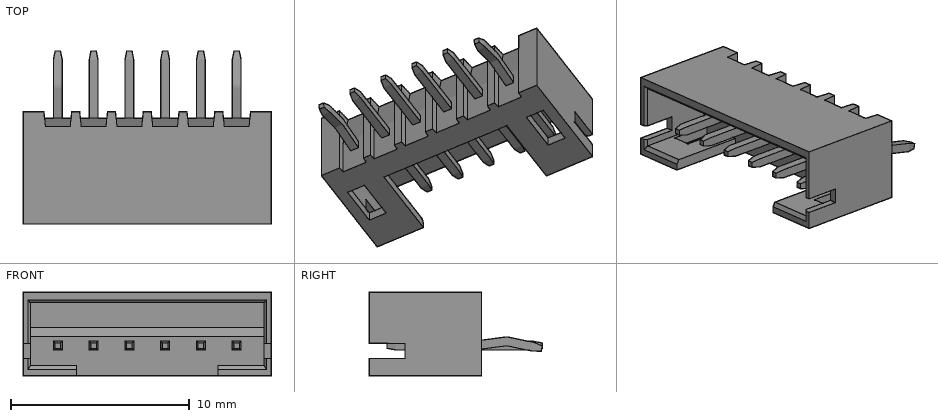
import cadquery as cq
import math

LENGTH = 13.9
HEIGHT = 4.7
DEPTH = 6.3

ROOF = 0.6
FLOOR = 0.6
SIDE_WALL = 0.42

WALL_FRONT = 4.45
STEP_BOTTOM = 2.2
STEP_TOP = 2.71
STEP_RUN = STEP_TOP - STEP_BOTTOM

LEAD_IN_DEPTH = 0.15
LEAD_IN_WIDTH = 0.15
LEAD_IN_FLOOR = 0.24

FLOOR_TAB = 2.99
SLOT_DEPTH = 2.0
SLOT_BOTTOM = 0.99
SLOT_TOP = 1.82
WINDOW_INSET = 0.64
WINDOW_WIDTH = 1.08
WINDOW_FRONT = SLOT_DEPTH

NOTCH_MOUTH = 1.54
NOTCH_ROOT = 1.39
NOTCH_DEPTH_TOP = 0.83
NOTCH_DEPTH_LOW = 0.36
NOTCH_KINK_Z = HEIGHT / 2

PIN_COUNT = 6
PITCH = 2.0
PIN = 0.5
TIP = 0.3
TIP_LENGTH = 0.5
PIN_Z = 1.7
PIN_FRONT = 1.0
PIN_BACK = 9.7

KINK_UP = math.radians(7.5)
KINK_DOWN = math.radians(12)
KINK_START = DEPTH - 0.47
KINK_PEAK = DEPTH + 1.42
KINK_RADIUS = 0.55


def box(x0, x1, y0, y1, z0, z1):
    return cq.Workplane("XY").box(x1 - x0, y1 - y0, z1 - z0, centered=False).translate((x0, y0, z0))


def cavity():
    profile = [
        (0, FLOOR),
        (WALL_FRONT, FLOOR),
        (WALL_FRONT, STEP_BOTTOM),
        (WALL_FRONT + STEP_RUN, STEP_TOP),
        (WALL_FRONT + STEP_RUN, HEIGHT - ROOF),
        (0, HEIGHT - ROOF),
    ]
    inside = LENGTH - 2 * SIDE_WALL
    return cq.Workplane("YZ").workplane(offset=SIDE_WALL).polyline(profile).close().extrude(inside)


def lead_in():
    """Flared mouth, wide at the front face and narrowing to the cavity section."""
    def section(y, side, bottom, top):
        corners = [(side, y, bottom), (LENGTH - side, y, bottom), (LENGTH - side, y, top), (side, y, top)]
        return cq.Wire.makePolygon([cq.Vector(*corner) for corner in corners], close=True)

    mouth = section(0, SIDE_WALL - LEAD_IN_WIDTH, FLOOR - LEAD_IN_FLOOR, HEIGHT - ROOF + LEAD_IN_WIDTH)
    throat = section(LEAD_IN_DEPTH, SIDE_WALL, FLOOR, HEIGHT - ROOF)
    return cq.Workplane(cq.Solid.makeLoft([mouth, throat], True))


def notch(x):
    """Back notch: the overlap of its plan outline and its stepped-depth side outline."""
    root = DEPTH - NOTCH_DEPTH_TOP
    plan = [
        (x - NOTCH_MOUTH / 2, DEPTH),
        (x - NOTCH_ROOT / 2, root),
        (x + NOTCH_ROOT / 2, root),
        (x + NOTCH_MOUTH / 2, DEPTH),
    ]
    side = [
        (DEPTH, 0),
        (DEPTH, HEIGHT),
        (root, HEIGHT),
        (DEPTH - NOTCH_DEPTH_LOW, NOTCH_KINK_Z),
        (DEPTH - NOTCH_DEPTH_LOW, 0),
    ]
    column = cq.Workplane("XY").polyline(plan).close().extrude(HEIGHT)
    return column.intersect(cq.Workplane("YZ").polyline(side).close().extrude(LENGTH))


def pin_tip(x, y, z, tilt):
    """Tapered pin end; tilt is the angle of its direction above the +Y axis."""
    direction = (0, math.cos(tilt), math.sin(tilt))
    plane = cq.Plane(origin=(x, y, z), xDir=(1, 0, 0), normal=direction)
    return cq.Workplane(plane).rect(PIN, PIN).workplane(offset=TIP_LENGTH).rect(TIP, TIP).loft(combine=True)


def pin_front_end(x):
    return pin_tip(x, PIN_FRONT + TIP_LENGTH, PIN_Z, math.pi)


def straight_pin(x):
    start = PIN_FRONT + TIP_LENGTH
    end = PIN_BACK - TIP_LENGTH
    shank = box(x - PIN / 2, x + PIN / 2, start, end, PIN_Z - PIN / 2, PIN_Z + PIN / 2)
    return shank.union(pin_front_end(x)).union(pin_tip(x, end, PIN_Z, 0))


def kinked_pin(x):
    rise_cut = KINK_RADIUS * math.tan(KINK_UP / 2)
    peak_cut = KINK_RADIUS * math.tan((KINK_UP + KINK_DOWN) / 2)
    peak_z = PIN_Z + (KINK_PEAK - KINK_START) * math.tan(KINK_UP)

    end_y = PIN_BACK - TIP / 2 * math.sin(KINK_DOWN) - TIP_LENGTH * math.cos(KINK_DOWN)
    end_z = peak_z - (end_y - KINK_PEAK) * math.tan(KINK_DOWN)

    def from_peak(distance, angle):
        return KINK_PEAK + distance * math.cos(angle), peak_z + distance * math.sin(angle)

    rise_end = (KINK_START + rise_cut * math.cos(KINK_UP), PIN_Z + rise_cut * math.sin(KINK_UP))
    path = (
        cq.Workplane("YZ", origin=(x, 0, 0))
        .moveTo(PIN_FRONT + TIP_LENGTH, PIN_Z)
        .lineTo(KINK_START - rise_cut, PIN_Z)
        .tangentArcPoint(rise_end, relative=False)
        .lineTo(*from_peak(-peak_cut, KINK_UP))
        .tangentArcPoint(from_peak(peak_cut, -KINK_DOWN), relative=False)
        .lineTo(end_y, end_z)
    )
    section = cq.Workplane("XZ", origin=(x, PIN_FRONT + TIP_LENGTH, PIN_Z)).rect(PIN, PIN)
    return section.sweep(path).union(pin_front_end(x)).union(pin_tip(x, end_y, end_z, -KINK_DOWN))


housing = box(0, LENGTH, 0, DEPTH, 0, HEIGHT).cut(cavity()).cut(lead_in())
housing = housing.cut(box(FLOOR_TAB, LENGTH - FLOOR_TAB, 0, WALL_FRONT, 0, FLOOR))
housing = housing.cut(box(0, LENGTH, 0, SLOT_DEPTH, SLOT_BOTTOM, SLOT_TOP))
for window_x in (WINDOW_INSET, LENGTH - WINDOW_INSET - WINDOW_WIDTH):
    housing = housing.cut(box(window_x, window_x + WINDOW_WIDTH, WINDOW_FRONT, WALL_FRONT, 0, FLOOR))

first_pin_x = LENGTH / 2 - (PIN_COUNT - 1) * PITCH / 2
pin_positions = [first_pin_x + i * PITCH for i in range(PIN_COUNT)]
for pin_x in pin_positions:
    housing = housing.cut(notch(pin_x))

result = housing
for pin_x in pin_positions:
    is_end_pin = pin_x in (pin_positions[0], pin_positions[-1])
    result = result.union(kinked_pin(pin_x) if is_end_pin else straight_pin(pin_x))